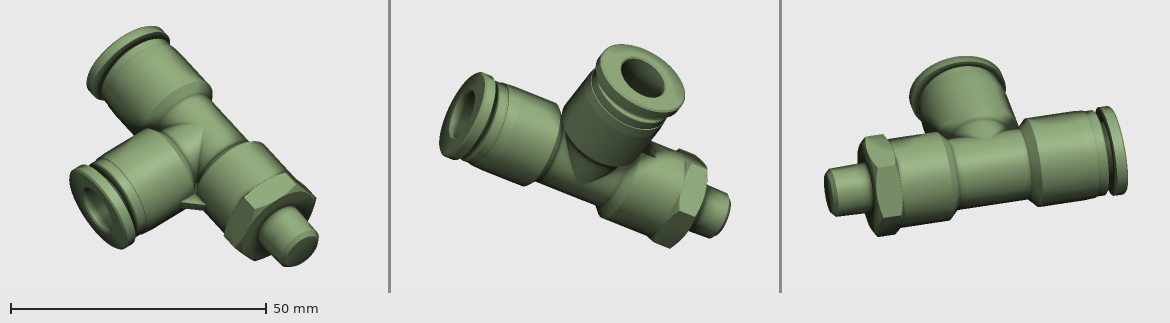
import cadquery as cq
import math


body_radius = 17.6 / 2
tube_radius = 14.0 / 2
cone_end_reach = 9.0
cone_start_reach = cone_end_reach - (body_radius - tube_radius)
taper_start_reach = 18.3
taper_end_reach = 20.4
sleeve_end_reach = 22.5
taper_end_radius = 17.3 / 2
sleeve_radius = 16.9 / 2
sleeve_chamfer = 0.2
body_end_x = 19.0

web_thickness = 2.0
web_reach = 21.1

flange_width = 19.05
flange_height = 16.6
flange_inner_reach = 23.9
ring_end_reach = 26.13
flange_chamfer = 0.35
neck_radius = 11.9 / 2
tube_hole_radius = 9.75 / 2
tube_hole_chamfer = 0.3
neck_end_reach = 20.3
tube_hole_floor_reach = cone_end_reach

hex_across_flats = 17.4
hex_across_corners = hex_across_flats / math.cos(math.radians(30))
hex_length = 5.1
hex_chamfer_angle = 30
hex_end_x = body_end_x + hex_length
stud_end_x = 31.97
thread_base_radius = 9.95 / 2
thread_tip_radius = 9.55 / 2
thread_chamfer = 0.85

branch_turn = 90


def revolve_about_x(outline):
    """Revolve a closed outline of (x, radius) points about the X axis."""
    return cq.Workplane("XY").polyline(outline).close().revolve(360, (0, 0, 0), (1, 0, 0))


def turn(shape, angle):
    return shape.rotate((0, 0, 0), (0, 0, 1), angle)


def x_cylinder(start_x, end_x, radius):
    """Cylinder on the X axis between two places."""
    return cq.Workplane("YZ").workplane(offset=start_x).circle(radius).extrude(end_x - start_x)


def make_port():
    """Socket of the tee that points to -X, before its recess and tube hole are cut."""
    return revolve_about_x([
        (0, 0),
        (0, tube_radius),
        (-cone_start_reach, tube_radius),
        (-cone_end_reach, body_radius),
        (-taper_start_reach, body_radius),
        (-taper_end_reach, taper_end_radius),
        (-taper_end_reach, sleeve_radius),
        (-sleeve_end_reach + sleeve_chamfer, sleeve_radius),
        (-sleeve_end_reach, sleeve_radius - sleeve_chamfer),
        (-sleeve_end_reach, 0),
    ])


def make_stud_side():
    """Half of the run that carries the stud."""
    return revolve_about_x([
        (0, 0),
        (0, tube_radius),
        (cone_start_reach, tube_radius),
        (cone_end_reach, body_radius),
        (body_end_x, body_radius),
        (body_end_x, 0),
    ])


def make_web():
    """Thin right triangle whose slanted edge runs at 45 degrees across the corner."""
    buried_corner = tube_radius / 2
    return (
        cq.Workplane("XY")
        .polyline([
            (buried_corner, -buried_corner),
            (web_reach - buried_corner, -buried_corner),
            (buried_corner, buried_corner - web_reach),
        ])
        .close()
        .extrude(web_thickness / 2, both=True)
    )


def make_body():
    """Tee whose two sockets each hold a ring neck, with the tube hole running on behind it."""
    body = make_port().union(make_stud_side()).union(turn(make_port(), branch_turn)).union(make_web())
    neck_recess = x_cylinder(-sleeve_end_reach, -neck_end_reach, neck_radius)
    tube_hole = x_cylinder(-neck_end_reach, -tube_hole_floor_reach, tube_hole_radius)
    for angle in (0, branch_turn):
        body = body.cut(turn(neck_recess, angle)).cut(turn(tube_hole, angle))
    return body


def make_release_ring(angle):
    """Tubular neck with an oval flange; its wide axis lies in the plane of the tee."""
    flange = (
        cq.Workplane("YZ")
        .workplane(offset=-ring_end_reach)
        .ellipse(flange_width / 2, flange_height / 2)
        .extrude(ring_end_reach - flange_inner_reach)
        .faces("<X")
        .chamfer(flange_chamfer)
    )
    neck = x_cylinder(-flange_inner_reach, -neck_end_reach, neck_radius)
    hole = x_cylinder(-ring_end_reach, -neck_end_reach, tube_hole_radius)
    hole_mouth = revolve_about_x([
        (-ring_end_reach, 0),
        (-ring_end_reach, tube_hole_radius + tube_hole_chamfer),
        (-ring_end_reach + tube_hole_chamfer, tube_hole_radius),
        (-ring_end_reach + tube_hole_chamfer, 0),
    ])
    return turn(flange.union(neck).cut(hole).cut(hole_mouth), angle)


def make_stud():
    """Hexagon with flats facing up and down, chamfered at both ends, and a tapered thread blank."""
    hexagon = (
        cq.Workplane("YZ")
        .workplane(offset=body_end_x)
        .polygon(6, hex_across_corners)
        .extrude(hex_length)
    )
    flat_radius = hex_across_flats / 2
    corner_radius = hex_across_corners / 2
    chamfer_length = (corner_radius - flat_radius) * math.tan(math.radians(hex_chamfer_angle))
    chamfer_envelope = revolve_about_x([
        (body_end_x, 0),
        (body_end_x, flat_radius),
        (body_end_x + chamfer_length, corner_radius),
        (hex_end_x - chamfer_length, corner_radius),
        (hex_end_x, flat_radius),
        (hex_end_x, 0),
    ])
    thread = revolve_about_x([
        (hex_end_x, 0),
        (hex_end_x, thread_base_radius),
        (stud_end_x - thread_chamfer, thread_tip_radius),
        (stud_end_x, thread_tip_radius - thread_chamfer),
        (stud_end_x, 0),
    ])
    return hexagon.intersect(chamfer_envelope).union(thread)


body = make_body()
release_rings = [make_release_ring(angle) for angle in (0, branch_turn)]
stud = make_stud()

result = cq.Compound.makeCompound([body.val(), *[ring.val() for ring in release_rings], stud.val()])